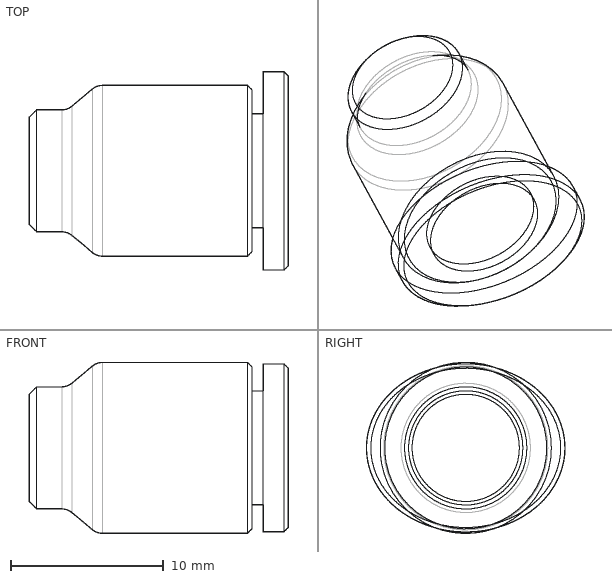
import cadquery as cq
import math

length = 16.95

tip_diameter = 8.0
tip_chamfer = 0.5

cone_start = 2.51
cone_angle = 40.0
cone_corner_radius = 1.0

body_diameter = 11.2
body_end = 14.58
body_chamfer = 0.3

neck_diameter = 7.47

flange_width = 13.0
flange_height = 11.0
flange_thickness = 1.65
flange_chamfer = 0.29

tip_radius = tip_diameter / 2
body_radius = body_diameter / 2
neck_radius = neck_diameter / 2
flange_start = length - flange_thickness

slope = math.radians(cone_angle)
corner_setback = cone_corner_radius * math.tan(slope / 2)
corner_run = cone_corner_radius * math.sin(slope)
corner_rise = cone_corner_radius * (1 - math.cos(slope))
corner_mid_run = cone_corner_radius * math.sin(slope / 2)
corner_mid_rise = cone_corner_radius * (1 - math.cos(slope / 2))

cone_end = cone_start + (body_radius - tip_radius) / math.tan(slope)
lower_arc_start = cone_start - corner_setback
upper_arc_end = cone_end + corner_setback


def make_turned_body():
    """Tip, cone, body and neck, turned about the X axis."""
    profile = (
        cq.Workplane("XY")
        .moveTo(0, 0)
        .lineTo(0, tip_radius - tip_chamfer)
        .lineTo(tip_chamfer, tip_radius)
        .lineTo(lower_arc_start, tip_radius)
        .threePointArc(
            (lower_arc_start + corner_mid_run, tip_radius + corner_mid_rise),
            (lower_arc_start + corner_run, tip_radius + corner_rise),
        )
        .lineTo(upper_arc_end - corner_run, body_radius - corner_rise)
        .threePointArc(
            (upper_arc_end - corner_mid_run, body_radius - corner_mid_rise),
            (upper_arc_end, body_radius),
        )
        .lineTo(body_end - body_chamfer, body_radius)
        .lineTo(body_end, body_radius - body_chamfer)
        .lineTo(body_end, neck_radius)
        .lineTo(flange_start, neck_radius)
        .lineTo(flange_start, 0)
        .close()
    )
    return profile.revolve(360, (0, 0, 0), (1, 0, 0))


def make_flange():
    """Elliptical disc, wider along Y, chamfered on its outer face."""
    return (
        cq.Workplane("YZ", origin=(flange_start, 0, 0))
        .ellipse(flange_width / 2, flange_height / 2)
        .extrude(flange_thickness)
        .faces(">X")
        .chamfer(flange_chamfer)
    )


result = make_turned_body().union(make_flange())